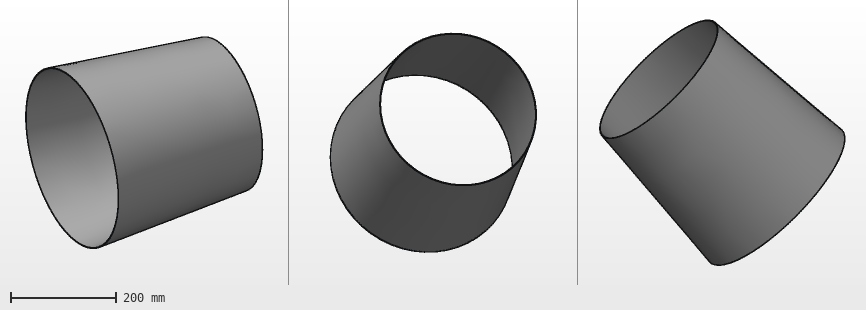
import cadquery as cq

LARGE_DIAMETER = 355.6
SMALL_DIAMETER = 304.8
LENGTH = 330.0
WALL = 2.0


def cone_frustum(large_diameter, small_diameter):
    """Solid frustum on the Y axis, tapering toward +Y."""
    profile = (
        cq.Workplane("XY")
        .lineTo(large_diameter / 2, 0)
        .lineTo(small_diameter / 2, LENGTH)
        .lineTo(0, LENGTH)
        .close()
    )
    return profile.revolve(360, (0, 0, 0), (0, 1, 0))


outer = cone_frustum(LARGE_DIAMETER, SMALL_DIAMETER)
bore = cone_frustum(LARGE_DIAMETER - 2 * WALL, SMALL_DIAMETER - 2 * WALL)
result = outer.cut(bore)